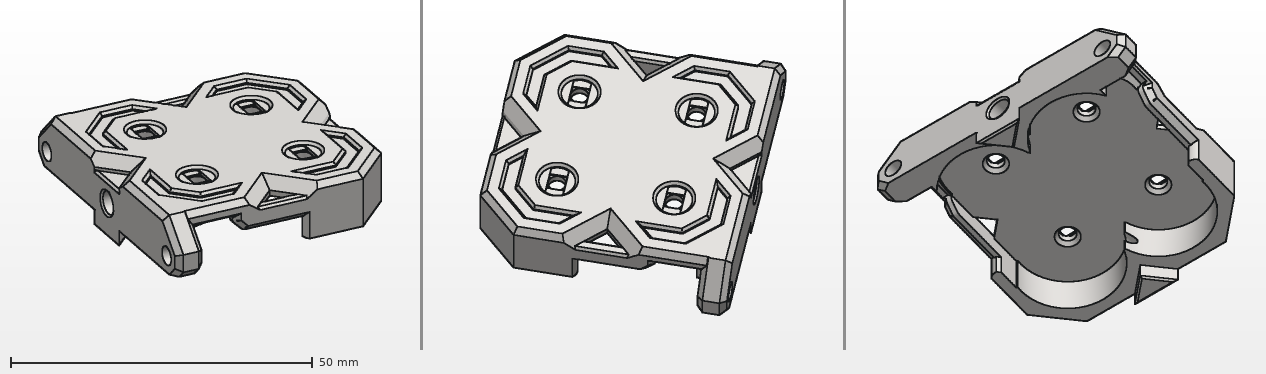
import cadquery as cq
import math

body_width = 43.0
total_width = 51.5
total_length = 43.83
total_height = 12.95
body_height = 9.9
edge_chamfer = 1.06
rear_corner_cut = 7.07
plate_thickness = 3.05
half_width = body_width / 2
half_length = total_length / 2
ceiling_z = body_height - plate_thickness

flange_half_width = total_width / 2
flange_thickness = 5.0
ear_side_low_z = 1.55
ear_side_high_z = 4.77
ear_hole_x = 21.7
ear_hole_diameter = 3.3
ear_hole_z = 3.06
flange_rear_y = flange_thickness - half_length

screw_x = 9.4
screw_y = 9.91
screw_hole_diameter = 3.0
recess_diameter = 7.05
recess_depth = 0.5
bridge_step = 0.3
hole_exit_chamfer = 0.7
pocket_radius = 9.8
clearing_half_length = 9.05
web_tip_y = 13.0
web_tip_width = 2.0

groove_outer_apothem = 9.1
groove_inner_apothem = 6.05
groove_end = 5.3
groove_depth = 0.8
groove_chamfer = 0.5

side_notch_reach = 7.83
end_notch_reach = 7.3
notch_depth = 2.0
notch_inset = notch_depth * math.sqrt(2)
lip_chamfer = 0.45

foot_reach = 4.5
foot_height = total_height - body_height
foot_chamfer = 0.35
socket_depth = 2.6
rear_socket_inset = 0.31

pilot_diameter = 2.3
insert_diameter = 4.1
insert_depth = 4.0
bore_chamfer = 0.35
bore_z = 3.15
web_entry_chamfer = 0.5

opening_rear_y = 4.94
opening_low_z = 4.98
opening_step_y = -6.56
opening_high_y = -7.88
opening_high_z = 7.63
opening_chamfer = 1.1
jamb_chamfer = 0.35
jamb_tip_y = 4.25
jamb_tip_x = 20.0
relief_wall_x = 17.55
relief_flat_z = opening_high_z - jamb_chamfer
relief_slope_x = 20.07
wall_inner_x = 19.4

SIDES = (-1, 1)


def prism(points, z_low, z_high):
    """Vertical prism over a plan outline."""
    return cq.Workplane("XY").workplane(offset=z_low).polyline(points).close().extrude(z_high - z_low)


def y_cylinder(x, z, y_start, length, start_diameter, end_diameter=None):
    """Cylinder, or cone, along +Y."""
    start = cq.Vector(x, y_start, z)
    direction = cq.Vector(0, 1, 0)
    if end_diameter is None:
        solid = cq.Solid.makeCylinder(start_diameter / 2, length, start, direction)
    else:
        solid = cq.Solid.makeCone(start_diameter / 2, end_diameter / 2, length, start, direction)
    return cq.Workplane(solid)


def mirrored(shape, plane):
    """Shape joined with its mirror image."""
    return shape.union(shape.mirror(plane))


def body_block():
    """Main block, starting inside the flange so that the flange edges stay clear."""
    front_y = flange_rear_y - flange_thickness / 2
    length = half_length - front_y
    block = cq.Workplane("XY").box(body_width, length, body_height, centered=(True, False, False))
    block = block.translate((0, front_y, 0))
    block = block.edges("|Z and >Y").chamfer(rear_corner_cut)
    return block.faces(">Z").edges("not <Y").chamfer(edge_chamfer)


def flange():
    """Front plate whose ears reach past the body on both sides."""
    top_half_width = flange_half_width - (body_height - ear_side_high_z)
    bottom_half_width = flange_half_width - ear_side_low_z
    right_side = [
        (bottom_half_width, 0),
        (flange_half_width, ear_side_low_z),
        (flange_half_width, ear_side_high_z),
        (top_half_width, body_height),
    ]
    left_side = [(-x, z) for x, z in reversed(right_side)]
    plate = (
        cq.Workplane("XZ", origin=(0, flange_rear_y, 0))
        .polyline(right_side + left_side)
        .close()
        .extrude(flange_thickness)
    )
    plate = plate.faces("<Y").edges("not <Z").chamfer(edge_chamfer)
    return plate.faces(">Y").edges("not <Z").chamfer(edge_chamfer)


def web_tip_trim():
    """Clearing that ends the web between the two rear pockets in a 45 degree point."""
    half_tip = web_tip_width / 2
    outline = [
        (-half_tip, 0),
        (-half_tip, web_tip_y + half_tip),
        (0, web_tip_y),
        (half_tip, web_tip_y + half_tip),
        (half_tip, 0),
    ]
    return prism(outline, 0, ceiling_z)


def pocket():
    """Four overlapping round pockets joined by a rectangular clearing."""
    cut = cq.Workplane("XY").rect(2 * wall_inner_x, 2 * clearing_half_length).extrude(ceiling_z)
    cut = cut.union(mirrored(web_tip_trim(), "XZ"))
    for x_side in SIDES:
        for y_side in SIDES:
            centre = (x_side * screw_x, y_side * screw_y, 0)
            cut = cut.union(cq.Workplane("XY").circle(pocket_radius).extrude(ceiling_z).translate(centre))
    return cut


def jamb_limit():
    """Plan region in front of the rounded rear jamb of the left side opening."""
    chamfer_x = half_width - jamb_chamfer
    chamfer_y = opening_rear_y - jamb_chamfer
    bulge_rise = chamfer_y - jamb_tip_y
    bulge_run = chamfer_x - jamb_tip_x
    bulge_radius = (bulge_run**2 + bulge_rise**2) / (2 * bulge_rise)
    half_turn = math.atan2(bulge_run, bulge_radius - bulge_rise) / 2
    middle = (
        -jamb_tip_x - bulge_radius * math.sin(half_turn),
        jamb_tip_y + bulge_radius * (1 - math.cos(half_turn)),
    )
    return (
        cq.Workplane("XY")
        .moveTo(-half_width, -half_length)
        .lineTo(-half_width, opening_rear_y)
        .lineTo(-chamfer_x, chamfer_y)
        .threePointArc(middle, (-jamb_tip_x, jamb_tip_y))
        .lineTo(0, jamb_tip_y + jamb_tip_x)
        .lineTo(0, -half_length)
        .close()
        .extrude(body_height)
    )


def left_opening():
    """Side opening, narrowing inward, with the relief behind the ear."""
    step_z = opening_low_z + (opening_step_y - opening_high_y)
    outline = [
        (half_length, -body_height),
        (half_length, opening_low_z),
        (opening_step_y, opening_low_z),
        (opening_high_y, step_z),
        (opening_high_y, opening_high_z),
        (flange_rear_y - opening_chamfer, opening_high_z),
        (flange_rear_y - opening_chamfer, -body_height),
    ]
    plane = cq.Workplane("YZ", origin=(-half_width, 0, 0))
    mouth = plane.polyline(outline).close().extrude(opening_chamfer, taper=45)
    inner_face = mouth.faces(">X").wires().toPending()
    throat = inner_face.workplane().extrude(half_width - opening_chamfer - wall_inner_x, combine=False)
    relief_profile = [
        (-half_width, 0),
        (-half_width, opening_high_z),
        (-half_width + jamb_chamfer, relief_flat_z),
        (-relief_slope_x, relief_flat_z),
        (-relief_wall_x, relief_flat_z - (relief_slope_x - relief_wall_x)),
        (-relief_wall_x, 0),
    ]
    relief_length = opening_high_y - opening_chamfer - flange_rear_y
    relief = (
        cq.Workplane("XZ", origin=(0, flange_rear_y, 0))
        .polyline(relief_profile)
        .close()
        .extrude(-relief_length)
    )
    return mouth.union(throat).intersect(jamb_limit()).union(relief)


def edge_triangle(reach):
    """Right-angled triangle with its long side on the +Y edge at the origin."""
    return [(-reach, 0), (0, -reach), (reach, 0)]


def triangle_frustum(top_reach, bottom_reach, z_top, z_bottom):
    """Triangular recess with sloping walls, open toward +Y."""
    return (
        cq.Workplane("XY", origin=(0, 0, z_bottom))
        .polyline(edge_triangle(bottom_reach))
        .close()
        .workplane(offset=z_top - z_bottom)
        .polyline(edge_triangle(top_reach))
        .close()
        .loft(ruled=True)
    )


def outer_lip_cut(half_span, floor_depth):
    """45 degree chamfer where a recess floor meets the outer face at y = 0."""
    profile = [
        (0, -floor_depth),
        (-lip_chamfer, -floor_depth),
        (0, -floor_depth - lip_chamfer),
    ]
    return cq.Workplane("YZ").polyline(profile).close().extrude(half_span, both=True)


def end_notch(socket_inset):
    """V notch with the triangular socket for a mating foot below it."""
    slope = triangle_frustum(end_notch_reach, end_notch_reach - notch_inset, 0, -notch_depth)
    mouth_reach = end_notch_reach - notch_inset
    floor_reach = mouth_reach - socket_inset * math.sqrt(2)
    socket = triangle_frustum(mouth_reach, floor_reach, -notch_depth, -socket_depth)
    return slope.union(socket).union(outer_lip_cut(mouth_reach, socket_depth))


def wall_top(half_span):
    """Side wall left standing under the notch, chamfered along its inner edge."""
    thickness = half_width - wall_inner_x
    height = plate_thickness - notch_depth
    wall = cq.Workplane("XY", origin=(0, -thickness / 2, -plate_thickness))
    wall = wall.rect(2 * half_span, thickness).extrude(height)
    return wall.edges(">Z and <Y").chamfer(lip_chamfer)


def side_notch():
    """V notch that opens into the pocket behind the side wall."""
    floor_reach = side_notch_reach - notch_inset
    slope = triangle_frustum(side_notch_reach, floor_reach, 0, -notch_depth)
    window = prism(edge_triangle(floor_reach), -plate_thickness, -notch_depth)
    window = window.cut(wall_top(floor_reach))
    lip_depth = notch_depth + lip_chamfer
    lip_limit = triangle_frustum(side_notch_reach, side_notch_reach - lip_depth * math.sqrt(2), 0, -lip_depth)
    outer_lip = outer_lip_cut(floor_reach, notch_depth).intersect(lip_limit)
    return slope.union(window).union(outer_lip)


def placed_notch(notch, angle, distance):
    return notch.translate((0, distance, body_height)).rotate((0, 0, 0), (0, 0, 1), angle)


def foot():
    outline = [(-foot_reach, 0), (0, foot_reach), (foot_reach, 0)]
    block = prism(outline, -foot_height, 0).faces("<Z").edges().chamfer(foot_chamfer)
    return block.translate((0, -half_length, 0))


def screw_station():
    """Drafted round recess, crosswise bridge steps and the through hole, from z = 0 down."""
    floor_radius = recess_diameter / 2 - recess_depth
    recess = cq.Workplane(
        cq.Solid.makeCone(recess_diameter / 2, floor_radius, recess_depth, dir=cq.Vector(0, 0, -1))
    )
    floor = cq.Workplane("XY", origin=(0, 0, -recess_depth))
    slot = floor.rect(2 * recess_diameter, screw_hole_diameter).extrude(-bridge_step)
    slot = slot.intersect(floor.circle(floor_radius).extrude(-bridge_step))
    square = floor.rect(screw_hole_diameter, screw_hole_diameter).extrude(-2 * bridge_step)
    hole = floor.circle(screw_hole_diameter / 2).extrude(-body_height)
    exit_radius = screw_hole_diameter / 2 + hole_exit_chamfer
    exit_cone = cq.Workplane(
        cq.Solid.makeCone(
            exit_radius, screw_hole_diameter / 2, hole_exit_chamfer, cq.Vector(0, 0, -plate_thickness)
        )
    )
    return recess.union(slot).union(square).union(hole).union(exit_cone)


def ring_groove():
    """Part of an octagonal ring, open toward the middle of the plate, for the +X +Y corner."""
    corner = math.tan(math.pi / 8)
    outer_corner = groove_outer_apothem * corner
    inner_corner = groove_inner_apothem * corner
    cut_back = groove_end - (groove_outer_apothem - groove_inner_apothem)
    outline = [
        (-groove_end, groove_inner_apothem),
        (-cut_back, groove_outer_apothem),
        (outer_corner, groove_outer_apothem),
        (groove_outer_apothem, outer_corner),
        (groove_outer_apothem, -cut_back),
        (groove_inner_apothem, -groove_end),
        (groove_inner_apothem, inner_corner),
        (inner_corner, groove_inner_apothem),
    ]
    rim = cq.Workplane("XY").polyline(outline).close().extrude(-groove_chamfer, taper=45)
    floor_depth = groove_depth - groove_chamfer
    return rim.faces("<Z").wires().toPending().workplane().extrude(floor_depth)


def centre_bores():
    front_y = -half_length
    chamfer_end = insert_diameter + 2 * bore_chamfer
    pilot_entry = pilot_diameter + 2 * bore_chamfer
    bore = y_cylinder(0, bore_z, front_y, total_length, pilot_diameter)
    bore = bore.union(y_cylinder(0, bore_z, front_y, insert_depth, insert_diameter))
    bore = bore.union(y_cylinder(0, bore_z, front_y, bore_chamfer, chamfer_end, insert_diameter))
    insert_end_y = front_y + insert_depth
    bore = bore.union(y_cylinder(0, bore_z, insert_end_y, bore_chamfer, pilot_entry, pilot_diameter))
    rear_entry = y_cylinder(
        0,
        bore_z,
        -web_tip_y - web_entry_chamfer,
        web_entry_chamfer,
        pilot_diameter,
        pilot_diameter + 2 * web_entry_chamfer,
    )
    return bore.union(rear_entry)


part = body_block().cut(mirrored(left_opening(), "YZ"))
part = part.union(flange()).cut(pocket())
part = part.cut(placed_notch(end_notch(rear_socket_inset), 0, half_length))
part = part.cut(placed_notch(end_notch(0), 180, half_length))
for side_angle in (90, -90):
    part = part.cut(placed_notch(side_notch(), side_angle, half_width))
part = part.union(mirrored(foot(), "XZ"))
for x_side in SIDES:
    for y_side in SIDES:
        place = (x_side * screw_x, y_side * screw_y, body_height)
        groove = ring_groove()
        if x_side < 0:
            groove = groove.mirror("YZ")
        if y_side < 0:
            groove = groove.mirror("XZ")
        part = part.cut(groove.translate(place)).cut(screw_station().translate(place))
    ear_hole = y_cylinder(x_side * ear_hole_x, ear_hole_z, -half_length, flange_thickness, ear_hole_diameter)
    part = part.cut(ear_hole)
part = part.cut(centre_bores())

result = part